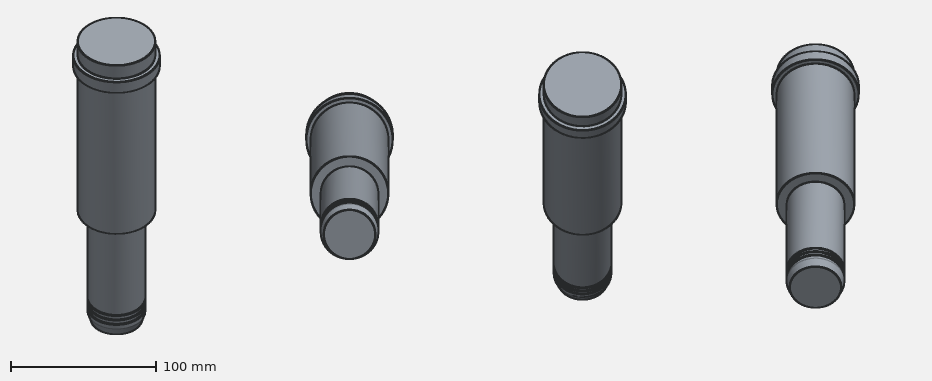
import cadquery as cq

collar_diameter = 60.0
sleeve_diameter = 54.0
pin_diameter = 40.0
tip_diameter = 35.7

total_length = 243.0
head_length = 12.2
collar_thickness = 10.0
pin_length = 95.0
taper_length = 7.0

edge_bevel = 0.5
tip_bevel = 0.36

relief_width = 0.7
relief_depth = 0.2

ring_groove_count = 3
ring_groove_pitch = 4.0
ring_groove_width = 1.0
ring_groove_depth = 0.36
lowest_ring_groove = 10.2

collar_top = total_length - head_length
collar_bottom = collar_top - collar_thickness


def cylinder(diameter, bottom, top):
    return cq.Workplane("XY").workplane(offset=bottom).circle(diameter / 2).extrude(top - bottom)


def groove(diameter, depth, bottom, width):
    """Cutter for a square groove around a shaft of the given diameter."""
    top = bottom + width
    outside = cylinder(diameter + 2 * depth, bottom, top)
    return outside.cut(cylinder(diameter - 2 * depth, bottom, top))


def relief(diameter, bottom):
    return groove(diameter, relief_depth, bottom, relief_width)


def pin():
    """Straight pin with a conical lead-in, a bevelled tip and ring grooves."""
    cone = cq.Solid.makeCone(tip_diameter / 2, pin_diameter / 2, taper_length)
    lead_in = cq.Workplane(cone).faces("<Z").chamfer(tip_bevel)
    body = lead_in.union(cylinder(pin_diameter, taper_length, pin_length))
    for index in range(ring_groove_count):
        bottom = lowest_ring_groove + index * ring_groove_pitch
        body = body.cut(groove(pin_diameter, ring_groove_depth, bottom, ring_groove_width))
    return body.cut(relief(pin_diameter, pin_length - relief_width))


def sleeve():
    """Wide shaft that runs through the collar and ends in the head."""
    body = cylinder(sleeve_diameter, pin_length, total_length)
    body = body.faces("<Z or >Z").chamfer(edge_bevel)
    body = body.cut(relief(sleeve_diameter, collar_top))
    return body.cut(relief(sleeve_diameter, collar_bottom - relief_width))


def collar():
    body = cylinder(collar_diameter, collar_bottom, collar_top)
    return body.faces("<Z or >Z").chamfer(edge_bevel)


result = pin().union(sleeve()).union(collar())